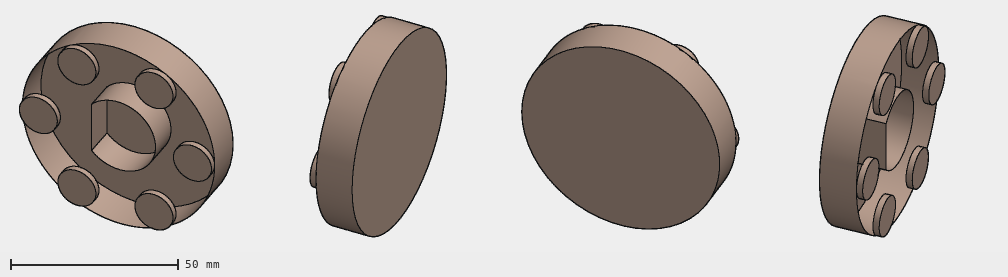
import cadquery as cq

disc_diameter = 64.95
disc_thickness = 12.0

pin_count = 6
pin_diameter = 12.85
pin_height = 2.0
pin_circle_radius = (disc_diameter - pin_diameter) / 2

pocket_diameter = 25.0
pocket_flat_offset = 9.1
pocket_depth = 10.0


def make_disc():
    """Disc with its pin face on the XZ plane and its body toward +Y."""
    return cq.Workplane("XZ").circle(disc_diameter / 2).extrude(-disc_thickness)


def make_pins():
    """Evenly spaced pins standing out from the disc face toward -Y."""
    return (
        cq.Workplane("XZ")
        .polarArray(pin_circle_radius, 0, 360, pin_count)
        .circle(pin_diameter / 2)
        .extrude(pin_height)
    )


def make_pocket():
    """Round pocket cut off by a flat at a fixed distance from the axis."""
    round_pocket = cq.Workplane("XZ").circle(pocket_diameter / 2).extrude(-pocket_depth)
    kept_side = cq.Workplane("XY").box(
        pocket_flat_offset + pocket_diameter / 2,
        pocket_depth,
        pocket_diameter,
        centered=(False, False, True),
    ).translate((-pocket_flat_offset, 0, 0))
    return round_pocket.intersect(kept_side)


result = make_disc().union(make_pins()).cut(make_pocket())